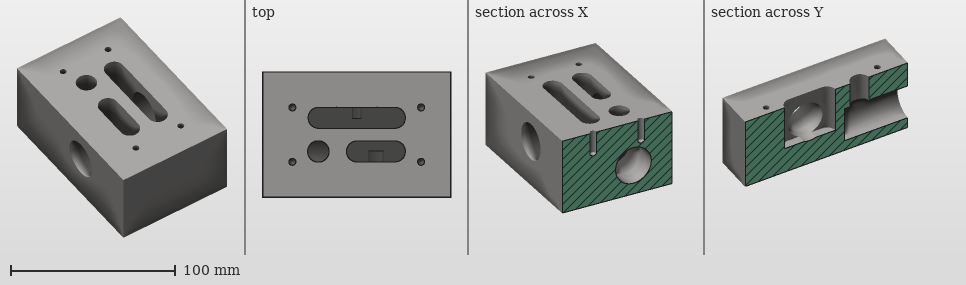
import cadquery as cq
import math

block_length = 114.3
block_width = 76.2
block_height = 50.3

slot_width = 12.7
slot_depth = 31.75
slot_right_end_x = 29.5
rear_slot_left_end_x = -slot_right_end_x
front_slot_left_end_x = -6.25
slot_y = 10.2

port_diameter = 24.4
port_radius = port_diameter / 2
pocket_port_depth = 28.15
front_port_z = 30.0
rear_port_x = 0.0
rear_port_sag = 0.3
left_port_y = -11.2
left_port_z = 20.0
left_port_depth = 44.45

top_bore_diameter = 13.0
top_bore_x = -23.3
top_bore_y = -slot_y

screw_hole_diameter = 4.2
screw_hole_depth = 15.0
screw_spacing_x = 78.1
screw_spacing_y = 33.0
drill_point_angle = 118.0

slot_floor_z = block_height - slot_depth
rear_port_z = slot_floor_z + port_radius - rear_port_sag
front_slot_x = (front_slot_left_end_x + slot_right_end_x) / 2


def slot(left_end_x, right_end_x, y):
    """Round-ended pocket running along X, cut down from the top face."""
    centre_x = (left_end_x + right_end_x) / 2
    return (
        cq.Workplane("XY", origin=(centre_x, y, slot_floor_z))
        .slot2D(right_end_x - left_end_x, slot_width)
        .extrude(slot_depth)
    )


def bore(start, direction, diameter, depth):
    """Flat-ended round bore starting at a point on a face."""
    return cq.Workplane(
        cq.Solid.makeCylinder(diameter / 2, depth, cq.Vector(*start), cq.Vector(*direction))
    )


def screw_hole(x, y):
    """Blind drilled hole with a conical bottom, made by revolving half its profile."""
    radius = screw_hole_diameter / 2
    point_length = radius / math.tan(math.radians(drill_point_angle / 2))
    profile = [
        (0, 0),
        (radius, 0),
        (radius, -screw_hole_depth),
        (0, -screw_hole_depth - point_length),
    ]
    return (
        cq.Workplane("XZ")
        .polyline(profile)
        .close()
        .revolve(360, (0, 0), (0, 1))
        .translate((x, y, block_height))
    )


result = cq.Workplane("XY").box(
    block_length, block_width, block_height, centered=(True, True, False)
)

result = result.cut(slot(rear_slot_left_end_x, slot_right_end_x, slot_y))
result = result.cut(slot(front_slot_left_end_x, slot_right_end_x, -slot_y))

front_port_start = (front_slot_x, -block_width / 2, front_port_z)
rear_port_start = (rear_port_x, block_width / 2, rear_port_z)
result = result.cut(bore(front_port_start, (0, 1, 0), port_diameter, pocket_port_depth))
result = result.cut(bore(rear_port_start, (0, -1, 0), port_diameter, pocket_port_depth))

left_port_start = (-block_length / 2, left_port_y, left_port_z)
result = result.cut(bore(left_port_start, (1, 0, 0), port_diameter, left_port_depth))
top_bore_start = (top_bore_x, top_bore_y, block_height)
top_bore_depth = block_height - left_port_z
result = result.cut(bore(top_bore_start, (0, 0, -1), top_bore_diameter, top_bore_depth))

for x in (-screw_spacing_x / 2, screw_spacing_x / 2):
    for y in (-screw_spacing_y / 2, screw_spacing_y / 2):
        result = result.cut(screw_hole(x, y))